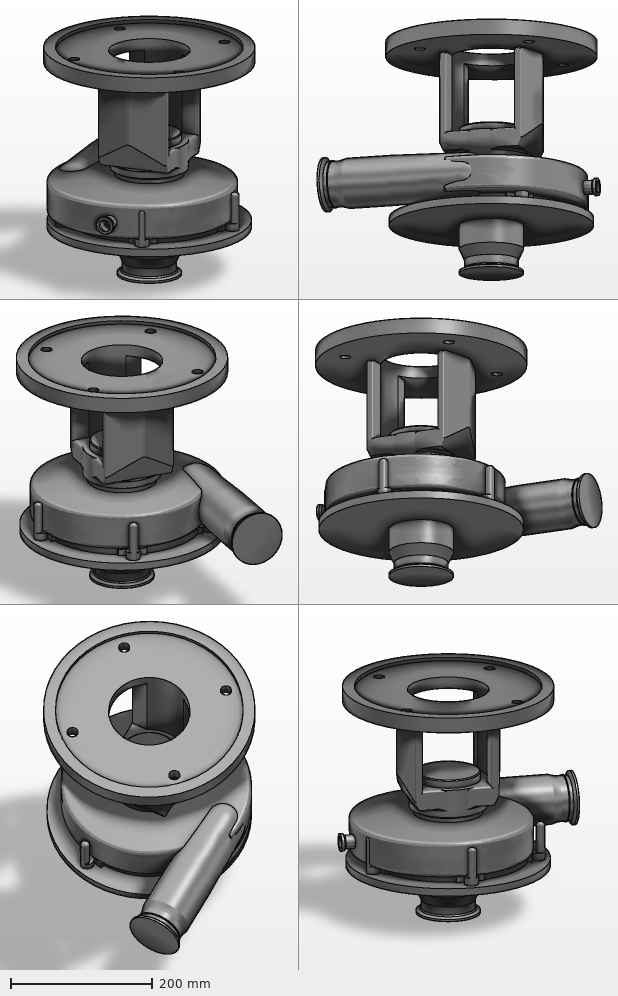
import cadquery as cq
import math


TOTAL_HEIGHT = 336.5
FLANGE_RADIUS = 150.0
FLANGE_THICKNESS = 22.0
FLANGE_BOTTOM = TOTAL_HEIGHT - FLANGE_THICKNESS
RECESS_RADIUS = 133.0
RECESS_DEPTH = 5.0
BORE_RADIUS = 57.5
BOLT_CIRCLE_RADIUS = 114.5
BOLT_HOLE_RADIUS = 7.8
BOLT_COUNT = 4
BOLT_FIRST_ANGLE = 45

YOKE_HALF_WIDTH = 53.0
YOKE_RIDGE_Y = 75.0
YOKE_RIDGE_HALF_WIDTH = 2.5
YOKE_CORNER_Y = 60.5
YOKE_FLOOR = 198.5
YOKE_BOTTOM = 171.3
YOKE_BOTTOM_Y = 55.5
YOKE_SLOPE_TOP = 211.5
YOKE_FILLET = 3.0
GUSSET_SIZE = 3.7
WINDOW_HALF_WIDTH = 50.0

COLLAR_RADIUS = 55.5
COLLAR_BOTTOM = 158.0
NECK_RADIUS = 47.0
NECK_FOOT_RADIUS = 49.5
NECK_FOOT = 148.8
NECK_FLARE_TOP = 154.0
SEAL_RADIUS = 45.8
SEAL_TOP = 210.5
SEAL_CHAMFER = 1.5

CASING_BOTTOM = 92.0
CASING_FILLET = 6.0
SPIRAL_START_RADIUS = 119.0
SPIRAL_END_RADIUS = 145.0
SPIRAL_START_ANGLE = 135
SPIRAL_SWEEP = 270
SPIRAL_POWER = 1.6
CASING_SWEEP = 325
CASING_STEPS = 26
CONE_BASE_RADIUS = 147.5
CONE_BASE = 141.5

PLATE_RADIUS = 145.0
PLATE_BOTTOM = 69.8
PLATE_TOP = 81.0
RING_RADIUS = 114.5
LUG_WIDTH = 40.5
LUG_REACH = 120.0
LUG_BOTTOM = 82.5
STUD_COUNT = 5
STUD_CIRCLE_RADIUS = 131.0
STUD_FIRST_ANGLE = 1.0
STUD_RADIUS = 6.3
STUD_ROUNDING = 4.5
STUD_FOOT_RADIUS = 10.0
FOOT_CIRCLE_RADIUS = 126.5
STUD_TOP = 136.0

INLET_RADIUS = 45.8
INLET_TUBE_RADIUS = 38.5
INLET_CONE_TOP = 35.5
INLET_CONE_BOTTOM = 19.5
FERRULE_RIM = 3.5
INLET_FERRULE_HEIGHT = 7.8
INLET_KNEE_RADIUS = 40.2
INLET_KNEE_HEIGHT = 5.5

OUTLET_X = -115.2
OUTLET_Z = 118.0
OUTLET_END_Y = 211.0
OUTLET_FLANGE_RADIUS = 38.8
OUTLET_FERRULE_LENGTH = 7.0
OUTLET_TUBE_RADIUS = 33.0
OUTLET_BEAD_RADIUS = 34.0
OUTLET_BEAD_Y = 197.5
OUTLET_BEAD_WIDTH = 1.0
OUTLET_SHOULDER_Y = 187.5
OUTLET_STEP_RADIUS = 34.0
OUTLET_STEP_Y = 182.5
OUTLET_BODY_RADIUS = 35.8
OUTLET_BODY_END_Y = 175.7
OUTLET_BODY_START_Y = 106.7
OUTLET_ROOT_RADIUS = 33.0

PORT_Z = 115.5
PORT_END_Y = -158.0
PORT_TUBE_RADIUS = 10.0
PORT_FLANGE_RADIUS = 12.5
PORT_FLANGE_THICKNESS = 4.0
PORT_TAPER = 2.5
PORT_HOLE_RADIUS = 8.5
PORT_HOLE_DEPTH = 21.8
PORT_ROOT_Y = -110.8


def disc(radius, bottom, top):
    """Upright cylinder on the pump axis."""
    return cq.Workplane("XY").workplane(offset=bottom).circle(radius).extrude(top - bottom)


def turned(profile):
    """Solid turned about Z from (radius, z) points that start and end on the axis."""
    return cq.Workplane("XZ").polyline(profile).close().revolve(360, (0, 0), (0, 1))


def motor_flange():
    flange = disc(FLANGE_RADIUS, FLANGE_BOTTOM, TOTAL_HEIGHT)
    flange = flange.cut(disc(RECESS_RADIUS, TOTAL_HEIGHT - RECESS_DEPTH, TOTAL_HEIGHT))
    holes = (
        cq.Workplane("XY")
        .workplane(offset=FLANGE_BOTTOM)
        .polarArray(BOLT_CIRCLE_RADIUS, BOLT_FIRST_ANGLE, 360, BOLT_COUNT)
        .circle(BOLT_HOLE_RADIUS)
        .extrude(FLANGE_THICKNESS)
    )
    return flange.cut(holes)


def yoke():
    plan = [
        (YOKE_HALF_WIDTH, -YOKE_CORNER_Y),
        (YOKE_HALF_WIDTH, YOKE_CORNER_Y),
        (YOKE_RIDGE_HALF_WIDTH, YOKE_RIDGE_Y),
        (-YOKE_RIDGE_HALF_WIDTH, YOKE_RIDGE_Y),
        (-YOKE_HALF_WIDTH, YOKE_CORNER_Y),
        (-YOKE_HALF_WIDTH, -YOKE_CORNER_Y),
        (-YOKE_RIDGE_HALF_WIDTH, -YOKE_RIDGE_Y),
        (YOKE_RIDGE_HALF_WIDTH, -YOKE_RIDGE_Y),
    ]
    column = (
        cq.Workplane("XY")
        .workplane(offset=YOKE_BOTTOM)
        .polyline(plan)
        .close()
        .extrude(FLANGE_BOTTOM - YOKE_BOTTOM)
    )
    outline = [
        (-YOKE_BOTTOM_Y, YOKE_BOTTOM),
        (YOKE_BOTTOM_Y, YOKE_BOTTOM),
        (YOKE_RIDGE_Y, YOKE_SLOPE_TOP),
        (YOKE_RIDGE_Y, FLANGE_BOTTOM),
        (WINDOW_HALF_WIDTH, FLANGE_BOTTOM),
        (WINDOW_HALF_WIDTH, YOKE_FLOOR),
        (-WINDOW_HALF_WIDTH, YOKE_FLOOR),
        (-WINDOW_HALF_WIDTH, FLANGE_BOTTOM),
        (-YOKE_RIDGE_Y, FLANGE_BOTTOM),
        (-YOKE_RIDGE_Y, YOKE_SLOPE_TOP),
    ]
    side = (
        cq.Workplane("YZ").polyline(outline).close().extrude(YOKE_HALF_WIDTH, both=True)
    )
    body = column.intersect(side)
    body = body.faces("<X or >X").edges("not(<Z)").fillet(YOKE_FILLET)
    gusset = turned([
        (0, YOKE_BOTTOM - GUSSET_SIZE),
        (COLLAR_RADIUS, YOKE_BOTTOM - GUSSET_SIZE),
        (COLLAR_RADIUS + GUSSET_SIZE, YOKE_BOTTOM),
        (0, YOKE_BOTTOM),
    ])
    foot = cq.Workplane("XY").box(2 * YOKE_HALF_WIDTH, 2 * YOKE_BOTTOM_Y, 2 * YOKE_BOTTOM)
    collar = disc(COLLAR_RADIUS, COLLAR_BOTTOM, YOKE_FLOOR)
    return body.union(collar).union(gusset.intersect(foot))


def shaft_seal():
    seal = disc(SEAL_RADIUS, YOKE_FLOOR, SEAL_TOP)
    return seal.faces(">Z").edges().chamfer(SEAL_CHAMFER)


def casing_point(step):
    """Point on the casing outline: a clockwise spiral that ends in a constant radius."""
    turned_by = step * CASING_SWEEP / CASING_STEPS
    growth = min(turned_by / SPIRAL_SWEEP, 1) ** SPIRAL_POWER
    radius = SPIRAL_START_RADIUS + growth * (SPIRAL_END_RADIUS - SPIRAL_START_RADIUS)
    angle = math.radians(SPIRAL_START_ANGLE - turned_by)
    return (radius * math.cos(angle), radius * math.sin(angle))


def casing():
    outline = [casing_point(step) for step in range(CASING_STEPS + 1)]
    volute = (
        cq.Workplane("XY")
        .workplane(offset=CASING_BOTTOM)
        .spline(outline)
        .close()
        .extrude(COLLAR_BOTTOM - CASING_BOTTOM)
    )
    envelope = turned([
        (0, CASING_BOTTOM),
        (CONE_BASE_RADIUS, CASING_BOTTOM),
        (CONE_BASE_RADIUS, CONE_BASE),
        (NECK_FOOT_RADIUS, NECK_FOOT),
        (NECK_RADIUS, NECK_FLARE_TOP),
        (NECK_RADIUS, COLLAR_BOTTOM),
        (0, COLLAR_BOTTOM),
    ])
    casing_body = volute.intersect(envelope)
    spiral_wall = cq.selectors.BoxSelector(
        (-CONE_BASE_RADIUS, -CONE_BASE_RADIUS, CASING_BOTTOM - CASING_FILLET),
        (CONE_BASE_RADIUS, CONE_BASE_RADIUS, CONE_BASE + CASING_FILLET / 2),
    )
    return casing_body.edges("not(|Z)").edges(spiral_wall).fillet(CASING_FILLET)


def back_plate():
    plate = disc(PLATE_RADIUS, PLATE_BOTTOM, PLATE_TOP)
    return plate.union(disc(RING_RADIUS, PLATE_TOP, CASING_BOTTOM))


def stud(index):
    """Round-topped stud and its wider foot on a lug of the spacer ring."""
    angle = STUD_FIRST_ANGLE + index * 360 / STUD_COUNT
    post = disc(STUD_RADIUS, PLATE_TOP, STUD_TOP)
    post = post.faces(">Z").edges().fillet(STUD_ROUNDING)
    foot = disc(STUD_FOOT_RADIUS, PLATE_TOP, CASING_BOTTOM)
    lug = (
        cq.Workplane("XY")
        .box(LUG_REACH, LUG_WIDTH, CASING_BOTTOM - LUG_BOTTOM, centered=(False, True, False))
        .translate((0, 0, LUG_BOTTOM))
    )
    assembly = (
        lug.union(foot.translate((FOOT_CIRCLE_RADIUS, 0, 0)))
        .union(post.translate((STUD_CIRCLE_RADIUS, 0, 0)))
    )
    return assembly.rotate((0, 0, 0), (0, 0, 1), angle)


def inlet():
    return turned([
        (0, 0),
        (INLET_RADIUS, 0),
        (INLET_RADIUS, FERRULE_RIM),
        (INLET_KNEE_RADIUS, INLET_KNEE_HEIGHT),
        (INLET_TUBE_RADIUS, INLET_FERRULE_HEIGHT),
        (INLET_TUBE_RADIUS, INLET_CONE_BOTTOM),
        (INLET_RADIUS, INLET_CONE_TOP),
        (INLET_RADIUS, PLATE_BOTTOM),
        (0, PLATE_BOTTOM),
    ])


def outlet():
    """Pipe along +Y with a domed root inside the casing and a clamp ferrule at its end."""
    bead_end = OUTLET_BEAD_Y + OUTLET_BEAD_WIDTH
    profile = (
        cq.Workplane("XY")
        .moveTo(0, -OUTLET_ROOT_RADIUS)
        .radiusArc((OUTLET_ROOT_RADIUS, 0), -OUTLET_ROOT_RADIUS)
        .lineTo(OUTLET_BODY_RADIUS, OUTLET_BODY_START_Y)
        .lineTo(OUTLET_BODY_RADIUS, OUTLET_BODY_END_Y)
        .lineTo(OUTLET_STEP_RADIUS, OUTLET_STEP_Y)
        .lineTo(OUTLET_TUBE_RADIUS, OUTLET_SHOULDER_Y)
        .lineTo(OUTLET_TUBE_RADIUS, OUTLET_BEAD_Y)
        .lineTo(OUTLET_BEAD_RADIUS, OUTLET_BEAD_Y)
        .lineTo(OUTLET_BEAD_RADIUS, bead_end)
        .lineTo(OUTLET_TUBE_RADIUS, bead_end)
        .lineTo(OUTLET_TUBE_RADIUS, OUTLET_END_Y - OUTLET_FERRULE_LENGTH)
        .lineTo(OUTLET_FLANGE_RADIUS, OUTLET_END_Y - FERRULE_RIM)
        .lineTo(OUTLET_FLANGE_RADIUS, OUTLET_END_Y)
        .lineTo(0, OUTLET_END_Y)
        .close()
    )
    return profile.revolve(360, (0, 0), (0, 1)).translate((OUTLET_X, 0, OUTLET_Z))


def drain_port():
    """Small flanged tube on the -Y side of the casing."""
    rim_y = PORT_END_Y + PORT_FLANGE_THICKNESS
    return (
        cq.Workplane("XY")
        .moveTo(0, PORT_END_Y)
        .lineTo(PORT_FLANGE_RADIUS, PORT_END_Y)
        .lineTo(PORT_FLANGE_RADIUS, rim_y)
        .lineTo(PORT_TUBE_RADIUS, rim_y + PORT_TAPER)
        .lineTo(PORT_TUBE_RADIUS, PORT_ROOT_Y)
        .lineTo(0, PORT_ROOT_Y)
        .close()
        .revolve(360, (0, 0), (0, 1))
        .translate((0, 0, PORT_Z))
    )


def drain_hole():
    return (
        cq.Workplane("XZ", origin=(0, PORT_END_Y, PORT_Z))
        .circle(PORT_HOLE_RADIUS)
        .extrude(-PORT_HOLE_DEPTH)
    )


result = motor_flange().union(yoke())
result = result.cut(disc(BORE_RADIUS, YOKE_FLOOR, TOTAL_HEIGHT))
result = result.union(shaft_seal()).union(casing()).union(back_plate()).union(inlet())
for stud_index in range(STUD_COUNT):
    result = result.union(stud(stud_index))
result = result.union(outlet()).union(drain_port()).cut(drain_hole())